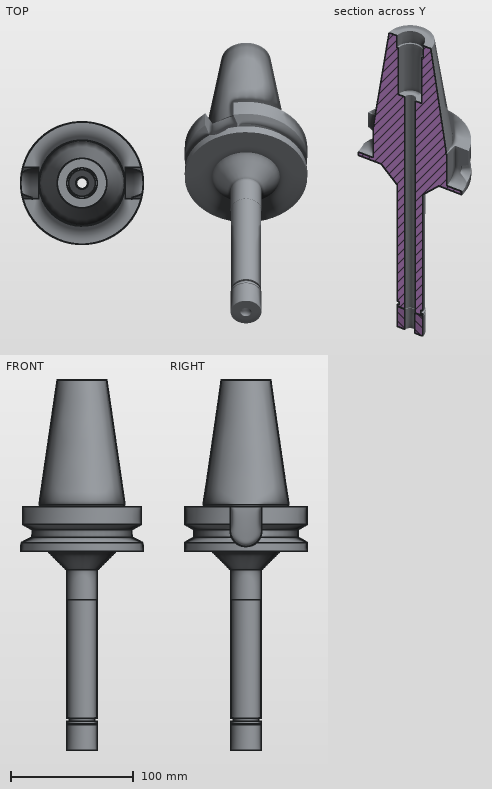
import cadquery as cq
import math

TOTAL_HEIGHT = 301.8
TAPER_LENGTH = 101.7
FLANGE_TOP_GAP = 1.5
FLANGE_BOTTOM_DROP = 38.0
gauge_z = TOTAL_HEIGHT - TAPER_LENGTH
flange_top_z = gauge_z - FLANGE_TOP_GAP
flange_bottom_z = gauge_z - FLANGE_BOTTOM_DROP

GAUGE_RADIUS = 35.0
TAPER_RATIO = 7 / 24
taper_top_radius = GAUGE_RADIUS - TAPER_LENGTH * TAPER_RATIO / 2
NECK_RADIUS = 34.5

FLANGE_DIAMETER = 100.0
FLANGE_RADIUS = FLANGE_DIAMETER / 2
GROOVE_RADIUS = 42.5
GROOVE_TOP_DROP = 14.5
GROOVE_FLOOR_WIDTH = 6.3
GROOVE_SIDE_ANGLE = 30
groove_side_height = (FLANGE_RADIUS - GROOVE_RADIUS) * math.tan(math.radians(GROOVE_SIDE_ANGLE))
groove_top_z = flange_top_z - GROOVE_TOP_DROP
groove_floor_top_z = groove_top_z - groove_side_height
groove_floor_bottom_z = groove_floor_top_z - GROOVE_FLOOR_WIDTH
groove_bottom_z = groove_floor_bottom_z - groove_side_height

SLOT_WIDTH = 25.7
SLOT_DEPTH = 32.5
SLOT_FLOOR_X = 35.3

SHANK_DIAMETER = 25.0
SHANK_RADIUS = SHANK_DIAMETER / 2
CONE_HEIGHT = 15.0
cone_top_radius = SHANK_RADIUS + CONE_HEIGHT
cone_bottom_z = flange_bottom_z - CONE_HEIGHT
SLIM_TOP_Z = 122.8
SLIM_DIAMETER = 24.7
SLIM_RADIUS = SLIM_DIAMETER / 2

RING_GROOVE_TOP_Z = 26.3
RING_GROOVE_WIDTH = 2.7
RING_GROOVE_RADIUS = 10.5
CAP_HEIGHT = 20.8
RELIEF_WIDTH = 1.0
RELIEF_RADIUS = 12.0
ring_groove_bottom_z = RING_GROOVE_TOP_Z - RING_GROOVE_WIDTH
relief_top_z = CAP_HEIGHT + RELIEF_WIDTH

COUNTERBORE_RADIUS = 12.5
COUNTERBORE_DEPTH = 12.0
THREAD_BORE_RADIUS = 11.0
THREAD_BORE_DEPTH = 60.5
COOLANT_DIAMETER = 10.0
CAP_BORE_RADIUS = 4.5


def cylinder(radius, bottom_z, top_z):
    """Vertical cylinder on the main axis."""
    return cq.Workplane("XY").workplane(offset=bottom_z).circle(radius).extrude(top_z - bottom_z)


def make_drive_slot(side):
    """Round-ended slot cutter outside the slot floor; side is -1 or +1."""
    half_width = SLOT_WIDTH / 2
    slot_bottom_z = flange_top_z - SLOT_DEPTH
    arc_center_z = slot_bottom_z + half_width
    return (
        cq.Workplane("YZ")
        .workplane(offset=side * SLOT_FLOOR_X)
        .moveTo(-half_width, flange_top_z)
        .lineTo(-half_width, arc_center_z)
        .threePointArc((0, slot_bottom_z), (half_width, arc_center_z))
        .lineTo(half_width, flange_top_z)
        .close()
        .extrude(side * FLANGE_RADIUS)
    )


def make_holder():
    """Taper, flange, cone and stepped shank in one turned body."""
    profile = [
        (0, CAP_HEIGHT),
        (RELIEF_RADIUS, CAP_HEIGHT),
        (RELIEF_RADIUS, relief_top_z),
        (SHANK_RADIUS, relief_top_z),
        (SHANK_RADIUS, ring_groove_bottom_z),
        (RING_GROOVE_RADIUS, ring_groove_bottom_z),
        (RING_GROOVE_RADIUS, RING_GROOVE_TOP_Z),
        (SLIM_RADIUS, RING_GROOVE_TOP_Z),
        (SLIM_RADIUS, SLIM_TOP_Z),
        (SHANK_RADIUS, SLIM_TOP_Z),
        (SHANK_RADIUS, cone_bottom_z),
        (cone_top_radius, flange_bottom_z),
        (FLANGE_RADIUS, flange_bottom_z),
        (FLANGE_RADIUS, groove_bottom_z),
        (GROOVE_RADIUS, groove_floor_bottom_z),
        (GROOVE_RADIUS, groove_floor_top_z),
        (FLANGE_RADIUS, groove_top_z),
        (FLANGE_RADIUS, flange_top_z),
        (NECK_RADIUS, flange_top_z),
        (NECK_RADIUS, gauge_z),
        (GAUGE_RADIUS, gauge_z),
        (taper_top_radius, TOTAL_HEIGHT),
        (0, TOTAL_HEIGHT),
    ]
    body = cq.Workplane("XZ").polyline(profile).close().revolve(360, (0, 0, 0), (0, 1, 0))
    for side in (-1, 1):
        body = body.cut(make_drive_slot(side))
    body = body.cut(cylinder(COUNTERBORE_RADIUS, TOTAL_HEIGHT - COUNTERBORE_DEPTH, TOTAL_HEIGHT))
    body = body.cut(cylinder(THREAD_BORE_RADIUS, TOTAL_HEIGHT - THREAD_BORE_DEPTH, TOTAL_HEIGHT))
    return body.cut(cylinder(COOLANT_DIAMETER / 2, CAP_HEIGHT, TOTAL_HEIGHT))


def make_end_cap():
    """Plain cap on the end of the shank with a through bore."""
    return cylinder(SHANK_RADIUS, 0, CAP_HEIGHT).cut(cylinder(CAP_BORE_RADIUS, 0, CAP_HEIGHT))


holder = make_holder()
end_cap = make_end_cap()
result = cq.Compound.makeCompound([holder.val(), end_cap.val()])